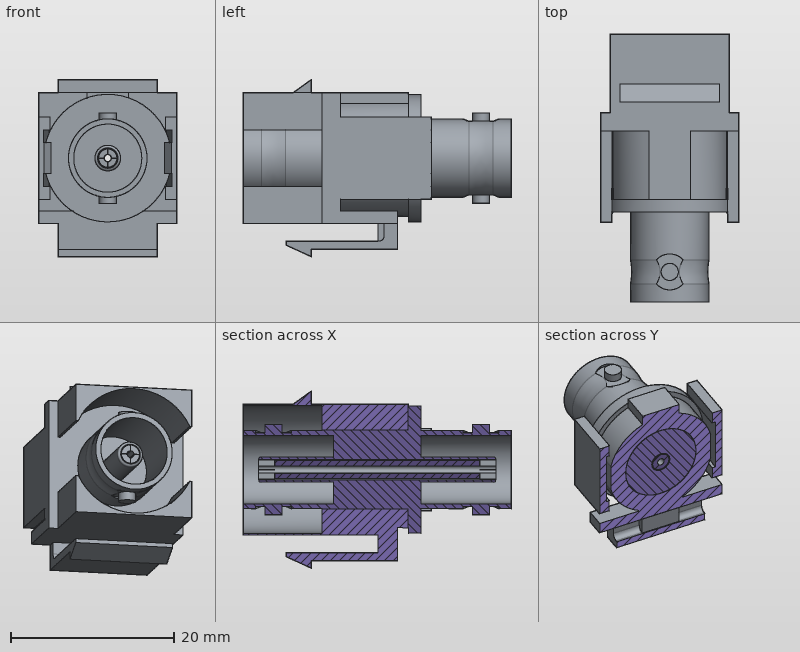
import cadquery as cq


LENGTH = 32.8
SHELL_RADIUS = 9.6 / 2
SOCKET_RADIUS = 4.15
GROOVE_CENTER = 3.7
GROOVE_HALF_WIDTH = 1.48
GROOVE_DEPTH = 0.13
PIN_RADIUS = 1.05
PIN_TIP = 5.55
SEAT_RADIUS = 2.2
SEAT_HEIGHT = 4.53
FLANGE_RADIUS = 7.8
FLANGE_FRONT = 11.02
FLANGE_BACK = 12.6
SOCKET_DEPTH = FLANGE_FRONT

SLEEVE_RADIUS = 1.57
SLEEVE_BORE = 1.2
SLEEVE_RECESS = 1.87
SLEEVE_ROUNDING = 0.3
CONTACT_RADIUS = 1.15
CONTACT_BORE = 0.43
CONTACT_SLOT_WIDTH = 0.05
CONTACT_SLOT_DEPTH = 1.97

HALF_WIDTH = 16.9 / 2
HALF_HEIGHT = 8.0
BACK_HALF_WIDTH = 7.28
WALL_FRONT = 20.93
WALL_BACK = 23.2
CAVITY_RADIUS = FLANGE_RADIUS
WINDOW_HALF_HEIGHT = 3.45
BARREL_RADIUS = 7.15
BARREL_FLAT = 6.92
TAB_HALF_WIDTH = 2.53
SHELF_FRONT = 13.9
SHELF_TOP = -6.5
PLATE_FRONT = 9.77
PLATE_INNER = 7.1
PLATE_HALF_HEIGHT = 5.05
RECESS_FRONT_REACH = 7.87
RECESS_BACK_REACH = 7.2
CATCH_INNER = 6.92
CATCH_OUTER = 7.77
CATCH_HALF_HEIGHT = 1.9

LATCH_WIDTH = 12.17
RIDGE_BACK = 26.7
RIDGE_TOP = 9.6
HOOK_FRONT = 24.47
ARM_BACK = 27.55
ARM_TOP = -10.17
ARM_BOTTOM = -11.15
ARM_TIP_BOTTOM = -10.65
HOOK_BOTTOM = -12.07
LEG_BACK = 15.55
LEG_FILLET = 0.7
RIB_BACK = 16.35


def box(x0, x1, y0, y1, z0, z1):
    return cq.Workplane("XY").box(x1 - x0, y1 - y0, z1 - z0, centered=False).translate((x0, y0, z0))


def rod(radius, y0, y1):
    """Cylinder about the Y axis from y0 to y1."""
    return cq.Workplane("XZ", origin=(0, y0, 0)).circle(radius).extrude(y0 - y1)


def side_profile(points, width):
    """Closed outline of (y, z) points, extruded to a width centred on X = 0."""
    return cq.Workplane("YZ").polyline(points).close().extrude(width / 2, both=True)


def flange():
    return rod(FLANGE_RADIUS, FLANGE_FRONT, FLANGE_BACK)


def shell_tube():
    """Revolved shell with a shallow arc-shaped groove near each end."""
    groove_floor = SHELL_RADIUS - GROOVE_DEPTH
    back_groove = LENGTH - GROOVE_CENTER
    return (
        cq.Workplane("XY")
        .moveTo(0, 0)
        .lineTo(SHELL_RADIUS, 0)
        .lineTo(SHELL_RADIUS, GROOVE_CENTER - GROOVE_HALF_WIDTH)
        .threePointArc((groove_floor, GROOVE_CENTER), (SHELL_RADIUS, GROOVE_CENTER + GROOVE_HALF_WIDTH))
        .lineTo(SHELL_RADIUS, back_groove - GROOVE_HALF_WIDTH)
        .threePointArc((groove_floor, back_groove), (SHELL_RADIUS, back_groove + GROOVE_HALF_WIDTH))
        .lineTo(SHELL_RADIUS, LENGTH)
        .lineTo(0, LENGTH)
        .close()
        .revolve(360, (0, 0, 0), (0, 1, 0))
    )


def upright(radius, y, z0, z1):
    """Vertical cylinder on X = 0 from z0 to z1."""
    return cq.Workplane("XY", origin=(0, y, z0)).circle(radius).extrude(z1 - z0)


def make_connector():
    body = shell_tube()
    for y in (GROOVE_CENTER, LENGTH - GROOVE_CENTER):
        for side in (1, -1):
            body = body.cut(upright(SEAT_RADIUS, y, side * SEAT_HEIGHT, side * PIN_TIP))
            body = body.union(upright(PIN_RADIUS, y, side * SOCKET_RADIUS, side * PIN_TIP))
    body = body.union(flange())
    body = body.cut(rod(SOCKET_RADIUS, 0, SOCKET_DEPTH))
    body = body.cut(rod(SOCKET_RADIUS, LENGTH - SOCKET_DEPTH, LENGTH))
    sleeve = rod(SLEEVE_RADIUS, SLEEVE_RECESS, LENGTH - SLEEVE_RECESS).edges().fillet(SLEEVE_ROUNDING)
    return body.union(sleeve).cut(rod(SLEEVE_BORE, 0, LENGTH))


def make_contact():
    front = SLEEVE_RECESS
    back = LENGTH - SLEEVE_RECESS
    contact = rod(CONTACT_RADIUS, front, back).cut(rod(CONTACT_BORE, front, back))
    half = CONTACT_SLOT_WIDTH / 2
    reach = CONTACT_RADIUS
    for y0, y1 in ((front, front + CONTACT_SLOT_DEPTH), (back - CONTACT_SLOT_DEPTH, back)):
        contact = contact.cut(box(-half, half, y0, y1, -reach, reach))
        contact = contact.cut(box(-reach, reach, y0, y1, -half, half))
    return contact


def barrel():
    """Round sleeve in front of the wall with two side flats that clear the side plates."""
    flats = box(-BARREL_FLAT, BARREL_FLAT, FLANGE_BACK, WALL_FRONT, -BARREL_RADIUS, BARREL_RADIUS)
    return rod(BARREL_RADIUS, FLANGE_BACK, WALL_FRONT).intersect(flats)


def side_plate():
    """Side plate at +X with a tapered recess for the flange and a ramped catch in front of it."""
    plate = box(PLATE_INNER, HALF_WIDTH, PLATE_FRONT, WALL_FRONT, -PLATE_HALF_HEIGHT, PLATE_HALF_HEIGHT)
    recess = (
        cq.Workplane("XY")
        .polyline([
            (PLATE_INNER, PLATE_FRONT),
            (RECESS_FRONT_REACH, PLATE_FRONT),
            (RECESS_BACK_REACH, WALL_FRONT),
            (PLATE_INNER, WALL_FRONT),
        ])
        .close()
        .extrude(WINDOW_HALF_HEIGHT, both=True)
    )
    catch = (
        cq.Workplane("XY")
        .polyline([
            (RECESS_FRONT_REACH, PLATE_FRONT),
            (CATCH_OUTER, PLATE_FRONT),
            (CATCH_INNER, FLANGE_FRONT),
            (RECESS_FRONT_REACH, FLANGE_FRONT),
        ])
        .close()
        .extrude(CATCH_HALF_HEIGHT, both=True)
    )
    return plate.cut(recess).union(catch)


def top_ridge():
    points = [(HOOK_FRONT, HALF_HEIGHT), (HOOK_FRONT, RIDGE_TOP), (RIDGE_BACK, HALF_HEIGHT)]
    return side_profile(points, LATCH_WIDTH)


def bottom_latch():
    arm = side_profile(
        [
            (SHELF_FRONT, -HALF_HEIGHT),
            (SHELF_FRONT, ARM_BOTTOM),
            (HOOK_FRONT, ARM_BOTTOM),
            (HOOK_FRONT, HOOK_BOTTOM),
            (ARM_BACK, ARM_TIP_BOTTOM),
            (ARM_BACK, ARM_TOP),
            (LEG_BACK, ARM_TOP),
            (LEG_BACK, -HALF_HEIGHT),
        ],
        LATCH_WIDTH,
    )
    inner_corner = cq.selectors.NearestToPointSelector((0, LEG_BACK, ARM_TOP))
    arm = arm.edges(inner_corner).fillet(LEG_FILLET)
    rib = box(-TAB_HALF_WIDTH, TAB_HALF_WIDTH, SHELF_FRONT, RIB_BACK, ARM_TOP, -HALF_HEIGHT)
    return arm.union(rib)


def make_housing():
    body = box(-BACK_HALF_WIDTH, BACK_HALF_WIDTH, WALL_BACK, LENGTH, -HALF_HEIGHT, HALF_HEIGHT)
    body = body.cut(rod(CAVITY_RADIUS, WALL_BACK, LENGTH))
    body = body.cut(
        box(-BACK_HALF_WIDTH, BACK_HALF_WIDTH, WALL_BACK, LENGTH, -WINDOW_HALF_HEIGHT, WINDOW_HALF_HEIGHT)
    )
    body = body.union(box(-HALF_WIDTH, HALF_WIDTH, WALL_FRONT, WALL_BACK, -HALF_HEIGHT, HALF_HEIGHT))
    body = body.union(box(-TAB_HALF_WIDTH, TAB_HALF_WIDTH, FLANGE_BACK, WALL_FRONT, 0, HALF_HEIGHT))
    body = body.union(box(-HALF_WIDTH, HALF_WIDTH, SHELF_FRONT, WALL_FRONT, -HALF_HEIGHT, SHELF_TOP))
    body = body.union(barrel())
    plate = side_plate()
    body = body.union(plate).union(plate.mirror("YZ"))
    body = body.cut(flange()).cut(rod(SHELL_RADIUS, FLANGE_BACK, WALL_BACK))
    return body.union(top_ridge()).union(bottom_latch())


housing = make_housing().solids()
connector = make_connector().solids()
contact = make_contact().solids()

result = cq.Compound.makeCompound([housing.val(), connector.val(), contact.val()])